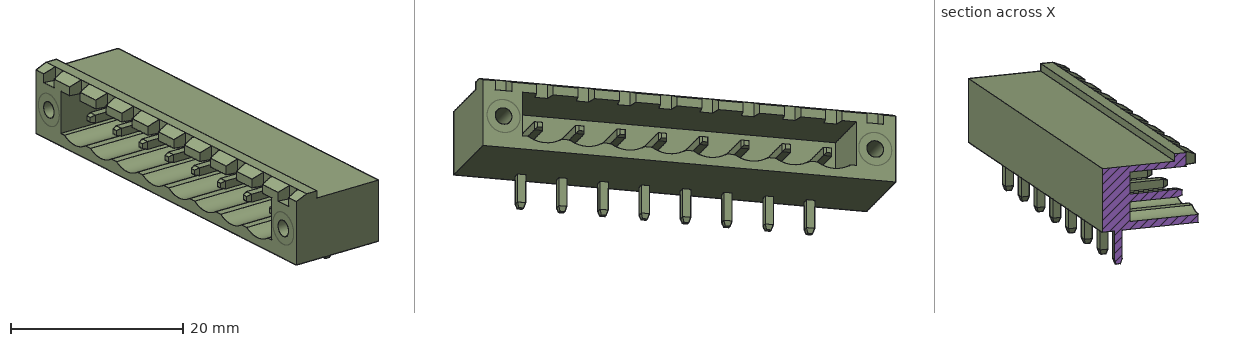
import cadquery as cq

BODY_LENGTH = 50.0
BODY_DEPTH = 12.0
BODY_HEIGHT = 7.7
PIN_TO_REAR = 2.0
REAR_Y = PIN_TO_REAR
FRONT_Y = REAR_Y - BODY_DEPTH

LIP_HEIGHT = 0.9
LIP_DEPTH = 3.0
LIP_TOP_Z = BODY_HEIGHT + LIP_HEIGHT
SLOPE_DEPTH = 1.5
SLOPE_DROP = 0.6

PIN_COUNT = 8
PITCH = 5.0
PIN_SIZE = 1.0
PIN_TIP_SIZE = 0.6
PIN_TIP_LENGTH = 0.6
SOLDER_LENGTH = 4.0
CONTACT_Z = 3.8
CONTACT_SETBACK = 2.0
PIN_XS = [(i - (PIN_COUNT - 1) / 2) * PITCH for i in range(PIN_COUNT)]

CAVITY_LENGTH = 40.4
CAVITY_DEPTH = 8.5
CAVITY_TOP_Z = 6.9
CREST_Z = 1.6
TROUGH_Z = 1.0
TROUGH_WIDTH = 4.0

NOTCH_FRONT_WIDTH = 2.0
NOTCH_REAR_WIDTH = 1.5
NOTCH_DEPTH = SLOPE_DEPTH

FLANGE_X = PIN_XS[-1] + PITCH
INSERT_DIAMETER = 4.0
HOLE_DIAMETER = 2.0
INSERT_DEPTH = CAVITY_DEPTH
FLANGE_XS = [-FLANGE_X, FLANGE_X]


def make_body():
    """Side profile with the sloped lip, extruded along the length."""
    lip_rear_y = FRONT_Y + LIP_DEPTH
    slope_y = FRONT_Y + SLOPE_DEPTH
    return (
        cq.Workplane("YZ", origin=(-BODY_LENGTH / 2, 0, 0))
        .moveTo(FRONT_Y, 0)
        .lineTo(REAR_Y, 0)
        .lineTo(REAR_Y, BODY_HEIGHT)
        .lineTo(lip_rear_y, BODY_HEIGHT)
        .lineTo(lip_rear_y, LIP_TOP_Z)
        .lineTo(slope_y, LIP_TOP_Z)
        .lineTo(FRONT_Y, LIP_TOP_Z - SLOPE_DROP)
        .close()
        .extrude(BODY_LENGTH)
    )


def make_cavity():
    """Plug space: a box whose floor has one round trough under each contact."""
    half = CAVITY_LENGTH / 2
    outline = (
        cq.Workplane("XZ", origin=(0, FRONT_Y, 0))
        .moveTo(-half, CAVITY_TOP_Z)
        .lineTo(-half, CREST_Z)
    )
    for x in PIN_XS:
        outline = outline.lineTo(x - TROUGH_WIDTH / 2, CREST_Z)
        outline = outline.threePointArc((x, TROUGH_Z), (x + TROUGH_WIDTH / 2, CREST_Z))
    outline = outline.lineTo(half, CREST_Z).lineTo(half, CAVITY_TOP_Z).close()
    return outline.extrude(-CAVITY_DEPTH)


def make_notch(x):
    """Keying notch in the lip, narrowing towards the rear."""
    front = NOTCH_FRONT_WIDTH / 2
    rear = NOTCH_REAR_WIDTH / 2
    rear_y = FRONT_Y + NOTCH_DEPTH
    return (
        cq.Workplane("XY", origin=(x, 0, CAVITY_TOP_Z))
        .polyline([(-front, FRONT_Y), (front, FRONT_Y), (rear, rear_y), (-rear, rear_y)])
        .close()
        .extrude(LIP_TOP_Z - CAVITY_TOP_Z)
    )


def make_bar(plane, length):
    """Square bar along the plane normal with a tapered tip, of the given total length."""
    shank_length = length - PIN_TIP_LENGTH
    shank = cq.Workplane(plane).rect(PIN_SIZE, PIN_SIZE).extrude(shank_length)
    tip = (
        shank.faces(cq.selectors.DirectionMinMaxSelector(plane.zDir, True))
        .workplane()
        .rect(PIN_SIZE, PIN_SIZE)
        .workplane(offset=PIN_TIP_LENGTH)
        .rect(PIN_TIP_SIZE, PIN_TIP_SIZE)
        .loft(combine=False)
    )
    return shank.union(tip)


def make_pin(x):
    """Right-angle pin: solder leg down through the board, contact forward into the cavity."""
    top_z = CONTACT_Z + PIN_SIZE / 2
    rear_y = PIN_SIZE / 2
    leg_plane = cq.Plane(origin=(x, 0, top_z), xDir=(1, 0, 0), normal=(0, 0, -1))
    contact_plane = cq.Plane(origin=(x, rear_y, CONTACT_Z), xDir=(1, 0, 0), normal=(0, -1, 0))
    contact_length = rear_y - (FRONT_Y + CONTACT_SETBACK)
    leg = make_bar(leg_plane, top_z + SOLDER_LENGTH)
    return leg.union(make_bar(contact_plane, contact_length))


def make_flange_cylinder(x, diameter):
    """Cylinder running back from the front face at a flange position."""
    return (
        cq.Workplane("XZ", origin=(x, FRONT_Y, CONTACT_Z))
        .circle(diameter / 2)
        .extrude(-INSERT_DEPTH)
    )


result = make_body().cut(make_cavity())
for notch_x in PIN_XS + FLANGE_XS:
    result = result.cut(make_notch(notch_x))
for pin_x in PIN_XS:
    result = result.union(make_pin(pin_x))

for flange_x in FLANGE_XS:
    hole = make_flange_cylinder(flange_x, HOLE_DIAMETER)
    insert = make_flange_cylinder(flange_x, INSERT_DIAMETER).cut(hole)
    result = result.cut(hole, clean=False).union(insert, clean=False)